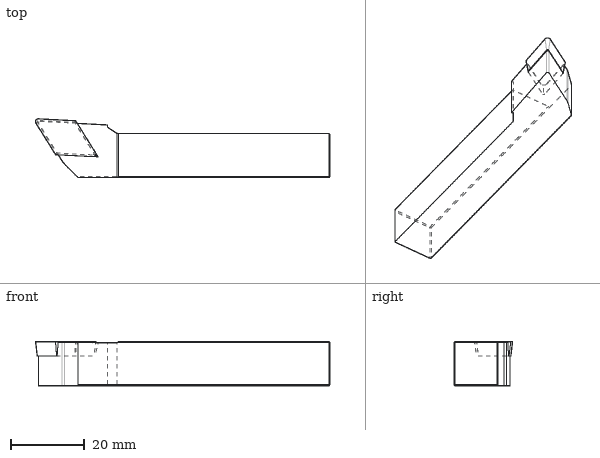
import cadquery as cq
import math

overall_length = 80.0
shank_size = 12.0
functional_width = 16.0

insert_corner_angle = 55.0
insert_inscribed_circle = 9.525
insert_thickness = 3.97
insert_clearance_angle = 7.0
insert_nose_radius = 0.8
cutting_edge_slope = 3.0

head_start = 22.2
edge_chamfer = 0.3
leading_setback = 0.68
trailing_setback = 0.60
head_nose_radius = 0.4
heel_x = 11.6
heel_blend_radius = 5.0
head_back_x = 19.6
head_back_step_y = 13.7


def direction(angle):
    """Unit vector in the XY plane at an angle in degrees."""
    return cq.Vector(math.cos(math.radians(angle)), math.sin(math.radians(angle)))


def line_crossing(point_a, direction_a, point_b, direction_b):
    """Crossing point of two lines in the XY plane."""
    along = (point_b - point_a).cross(direction_b).z / direction_a.cross(direction_b).z
    return point_a + direction_a * along


leading_direction = direction(-cutting_edge_slope)
trailing_direction = direction(-cutting_edge_slope - insert_corner_angle)
diagonal_direction = direction(-cutting_edge_slope - insert_corner_angle / 2)
insert_edge = insert_inscribed_circle / math.sin(math.radians(insert_corner_angle))

nose_center = cq.Vector(insert_nose_radius, functional_width - insert_nose_radius)
nose_reach = insert_nose_radius / math.sin(math.radians(insert_corner_angle / 2))
sharp_corner = nose_center - diagonal_direction * nose_reach


def insert_outline():
    """Sharp-cornered rhombus of the insert's top face, as a flat face."""
    leading_end = sharp_corner + leading_direction * insert_edge
    trailing_end = sharp_corner + trailing_direction * insert_edge
    far_corner = leading_end + trailing_direction * insert_edge
    corners = [sharp_corner, leading_end, far_corner, trailing_end]
    to_top = cq.Vector(0, 0, shank_size)
    return cq.Face.makeFromWires(cq.Wire.makePolygon([corner + to_top for corner in corners], close=True))


def tapered_plate(outline):
    """Plate below an outline at the top, narrowing downwards by the clearance angle."""
    return (
        cq.Workplane("XY", origin=(0, 0, shank_size))
        .add(outline.outerWire())
        .toPending()
        .extrude(-insert_thickness, taper=insert_clearance_angle)
    )


def make_insert():
    """Insert with both acute corners, the outermost along X, rounded to conical noses."""
    outline = insert_outline()
    corners_along_x = sorted(outline.Vertices(), key=lambda corner: corner.X)
    acute_corners = [corners_along_x[0], corners_along_x[-1]]
    return tapered_plate(outline.fillet2D(insert_nose_radius, acute_corners))


def make_head_and_shank():
    """Holder blank: cranked head and square shank at full height."""
    leading_normal = direction(-cutting_edge_slope - 90)
    trailing_normal = direction(90 - cutting_edge_slope - insert_corner_angle)
    leading_point = sharp_corner + leading_normal * leading_setback
    trailing_point = sharp_corner + trailing_normal * trailing_setback
    heel_point = cq.Vector(heel_x, 0)
    heel_direction = direction(135)
    y_direction = direction(90)

    head_nose = line_crossing(leading_point, leading_direction, trailing_point, trailing_direction)
    heel_corner = line_crossing(trailing_point, trailing_direction, heel_point, heel_direction)
    back_point = cq.Vector(head_back_x, 0)
    head_back = line_crossing(leading_point, leading_direction, back_point, y_direction)

    outline = [
        (heel_x, 0),
        (overall_length, 0),
        (overall_length, shank_size),
        (head_start, shank_size),
        (head_back_x, head_back_step_y),
        (head_back.x, head_back.y),
        (head_nose.x, head_nose.y),
        (heel_corner.x, heel_corner.y),
    ]
    blank = cq.Workplane("XY").polyline(outline).close().extrude(shank_size)
    blank = blank.edges("|Z").edges("<X").fillet(head_nose_radius)
    heel_edge = cq.selectors.NearestToPointSelector((heel_corner.x, heel_corner.y, shank_size / 2))
    blank = blank.edges("|Z").edges(heel_edge).fillet(heel_blend_radius)
    blank = blank.faces("<Y").edges("|X").chamfer(edge_chamfer)
    return blank.faces(">X").edges().chamfer(edge_chamfer)


def head_relief():
    """Shallow cut that lowers the head top, ending in a 45 degree ramp up to the shank."""
    floor = shank_size - edge_chamfer
    profile = [
        (0, floor),
        (head_start, floor),
        (head_start + edge_chamfer, shank_size),
        (0, shank_size),
    ]
    return cq.Workplane("XZ").polyline(profile).close().extrude(-functional_width)


def make_holder():
    """Holder with the sharp-cornered seat that the insert sits in."""
    return make_head_and_shank().cut(head_relief()).cut(tapered_plate(insert_outline()))


holder = make_holder()
insert = make_insert()
result = cq.Compound.makeCompound([holder.solids().val(), insert.solids().val()])